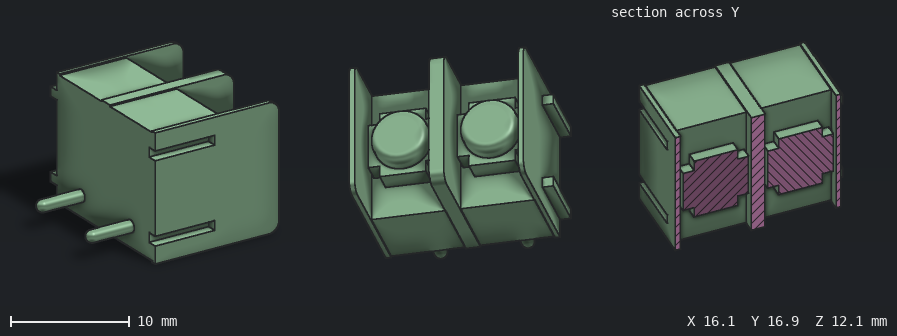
import cadquery as cq


overall_depth = 16.95
wall_height = 12.1
wall_depth = 12.5
wall_corner_radius = 1.02
left_wall = 0.45
middle_wall = 1.29
right_wall = 0.5
bay_width = 6.47
block_depth = 6.75
wall_rise = 0.14

bay_pitch = bay_width + middle_wall
bay_starts = [left_wall, left_wall + bay_pitch]
housing_width = left_wall + 2 * bay_width + middle_wall + right_wall
block_height = wall_height - 2 * wall_rise

rib_width = 0.95
rib_height = 0.9
rib_length = 6.0
rib_offset = 3.93
rib_heights = [-rib_offset, rib_offset]

plate_size = 6.02
plate_thickness = 2.0
plate_notch = 1.0

head_radius = 2.51
head_height = 1.5
head_rounding = 0.75

pin_radius = 0.58
pin_length = overall_depth - wall_depth
pin_pitch = housing_width / 2
first_pin_x = pin_pitch / 2
pin_z = -rib_offset


def box(x, y, z, width, depth, height):
    """Box from its low X and Y faces and its middle height."""
    return (
        cq.Workplane("XY")
        .box(width, depth, height, centered=(False, False, True))
        .translate((x, y, z))
    )


def cylinder(x, y, z, radius, length):
    """Cylinder along Y; a negative length runs toward -Y."""
    return cq.Workplane("XZ", origin=(x, y, z)).circle(radius).extrude(-length)


def make_wall(x, thickness):
    """Upright wall with its two far corners rounded."""
    wall = box(x, 0, 0, thickness, wall_depth, wall_height)
    return wall.edges("|X and >Y").fillet(wall_corner_radius)


def make_housing():
    housing = box(0, 0, 0, housing_width, block_depth, block_height)
    housing = housing.union(make_wall(0, left_wall))
    housing = housing.union(make_wall(left_wall + bay_width, middle_wall))
    housing = housing.union(make_wall(housing_width - right_wall, right_wall))
    for z in rib_heights:
        housing = housing.union(box(-rib_width, 0, z, rib_width, rib_length, rib_height))
        groove = box(housing_width - rib_width, 0, z, rib_width, rib_length, rib_height)
        housing = housing.cut(groove)
    return housing


def make_clamp_plate(center_x):
    """Square plate with notched corners, resting against the block."""
    inner_size = plate_size - 2 * plate_notch
    wide_bar = box(
        center_x - plate_size / 2, block_depth, 0, plate_size, plate_thickness, inner_size
    )
    tall_bar = box(
        center_x - inner_size / 2, block_depth, 0, inner_size, plate_thickness, plate_size
    )
    return wide_bar.union(tall_bar)


def make_screw_head(center_x):
    """Round head with a rounded rim, seated on the clamp plate."""
    head = cylinder(center_x, block_depth + plate_thickness, 0, head_radius, head_height)
    return head.faces(">Y").edges().fillet(head_rounding)


def make_pin(center_x):
    """Round pin with a half-ball tip, standing on the housing face."""
    shank_length = pin_length - pin_radius
    shank = cylinder(center_x, 0, pin_z, pin_radius, -shank_length)
    tip = cq.Workplane("XY", origin=(center_x, -shank_length, pin_z)).sphere(pin_radius)
    return shank.union(tip)


housing = make_housing()
bay_centers = [start + bay_width / 2 for start in bay_starts]
clamp_plates = [make_clamp_plate(x) for x in bay_centers]
screw_heads = [make_screw_head(x) for x in bay_centers]
pins = [make_pin(first_pin_x + i * pin_pitch) for i in range(len(bay_starts))]

result = cq.Compound.makeCompound(
    [housing.val()] + [body.val() for body in clamp_plates + screw_heads + pins]
)